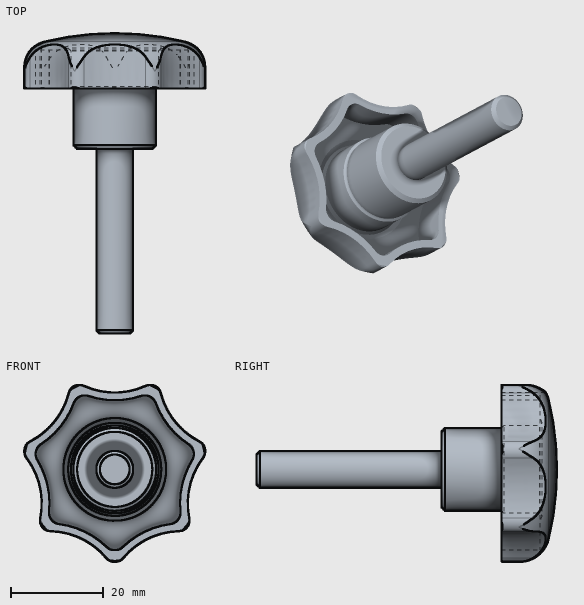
import cadquery as cq
import math

total_length = 65.0
lobe_count = 7
half_pitch = math.pi / lobe_count

head_height = 12.0
head_radius = 20.0
valley_radius = 16.65
scallop_radius = 16.25
dome_radius = 63.05
corner_radius = 6.6
rim_chamfer = 0.25

valley_wall = 1.7
lobe_wall = 2.55
cavity_depth = 8.3

hub_length = 13.0
hub_radius = 9.0
hub_chamfer = 0.85
collar_radius = 9.5
collar_step = 0.5
hub_root_radius = 10.1
groove_width = 1.05
groove_depth = 0.45
stud_diameter = 8.0
stud_length = total_length - head_height - hub_length
stud_chamfer = 0.8


def polar(radius, angle):
    return radius * math.cos(angle), radius * math.sin(angle)


def star_prism(tip_radius, valley, scallop, depth):
    """Star of concave scallops joined by tangent round lobes, extruded from Y = 0 to +Y."""
    scallop_center = valley + scallop
    axial = scallop_center * math.cos(half_pitch)
    lobe_radius = (
        scallop_center**2 + tip_radius**2 - 2 * tip_radius * axial - scallop**2
    ) / (2 * (scallop + tip_radius - axial))
    lobe_center = tip_radius - lobe_radius
    blend = lobe_radius / (lobe_radius + scallop)
    tangent_along = lobe_center + blend * (axial - lobe_center)
    tangent_across = blend * scallop_center * math.sin(half_pitch)
    tangent_radius = math.hypot(tangent_along, tangent_across)
    tangent_angle = math.atan2(tangent_across, tangent_along)

    first_lobe = -math.pi / 2
    outline = cq.Workplane("XZ").moveTo(*polar(tangent_radius, first_lobe - tangent_angle))
    for i in range(lobe_count):
        lobe = first_lobe + 2 * i * half_pitch
        next_lobe = lobe + 2 * half_pitch
        outline = outline.threePointArc(
            polar(tip_radius, lobe), polar(tangent_radius, lobe + tangent_angle)
        ).threePointArc(
            polar(valley, lobe + half_pitch), polar(tangent_radius, next_lobe - tangent_angle)
        )
    return outline.close().extrude(-depth)


def revolve_about_y(profile):
    return profile.close().revolve(360, (0, 0), (0, 1))


def domed_blank():
    """Disc with a shallow dome and a rounded corner tangent to the dome and to the side."""
    dome_center = head_height - dome_radius
    corner_x = head_radius - corner_radius
    center_gap = dome_radius - corner_radius
    corner_y = dome_center + math.sqrt(center_gap**2 - corner_x**2)
    dome_half_angle = math.asin(corner_x / center_gap)
    corner_mid_angle = (math.pi / 2 - dome_half_angle) / 2

    def dome_point(angle):
        return dome_radius * math.sin(angle), dome_center + dome_radius * math.cos(angle)

    corner_mid = (
        corner_x + corner_radius * math.cos(corner_mid_angle),
        corner_y + corner_radius * math.sin(corner_mid_angle),
    )
    return revolve_about_y(
        cq.Workplane("XY")
        .lineTo(head_radius - rim_chamfer, 0)
        .lineTo(head_radius, rim_chamfer)
        .lineTo(head_radius, corner_y)
        .threePointArc(corner_mid, dome_point(dome_half_angle))
        .threePointArc(dome_point(dome_half_angle / 2), (0, head_height))
    )


def root_groove():
    """Conical recess in the cavity floor, narrowing to meet the foot of the hub."""
    groove_bottom = cavity_depth + groove_depth
    return revolve_about_y(
        cq.Workplane("XY")
        .moveTo(0, cavity_depth)
        .lineTo(hub_root_radius + groove_width, cavity_depth)
        .lineTo(hub_root_radius, groove_bottom)
        .lineTo(0, groove_bottom)
    )


def hub():
    """Chamfered hub with a stepped collar, flaring at 45 degrees to the bottom of the groove."""
    root_flare = hub_root_radius - collar_radius
    root_y = cavity_depth + groove_depth
    return revolve_about_y(
        cq.Workplane("XY")
        .moveTo(0, -hub_length)
        .lineTo(hub_radius - hub_chamfer, -hub_length)
        .lineTo(hub_radius, hub_chamfer - hub_length)
        .lineTo(hub_radius, 0)
        .lineTo(collar_radius, collar_step)
        .lineTo(collar_radius, root_y - root_flare)
        .lineTo(hub_root_radius, root_y)
        .lineTo(0, root_y)
    )


def stud():
    return (
        cq.Workplane("XZ", origin=(0, -hub_length, 0))
        .circle(stud_diameter / 2)
        .extrude(stud_length)
        .faces("<Y")
        .chamfer(stud_chamfer)
    )


lobe_prism_height = 2 * head_height
lobe_prism = star_prism(head_radius, valley_radius, scallop_radius, lobe_prism_height)
head = domed_blank().intersect(lobe_prism)
cavity = star_prism(
    head_radius - lobe_wall, valley_radius - valley_wall, scallop_radius + valley_wall, cavity_depth
)
result = head.cut(cavity).cut(root_groove()).union(hub()).union(stud())